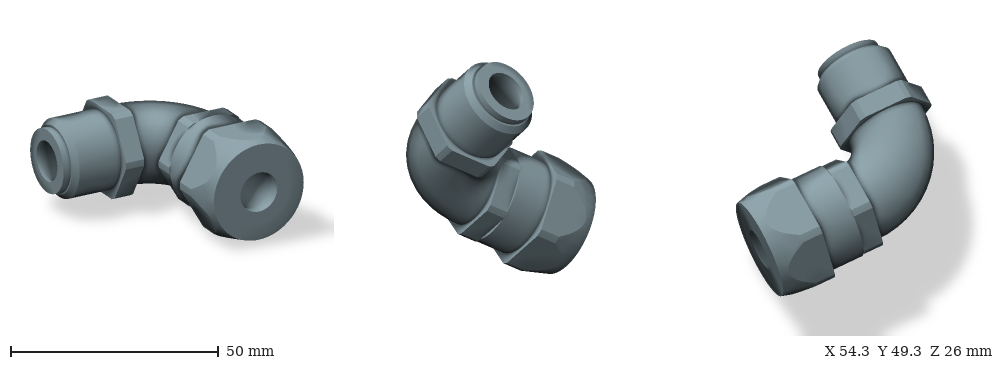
import cadquery as cq

tube_diameter = 20.0
bore_diameter = 10.2
bend_radius = 14.9

flange_flats = 22.15
flange_corners = 24.65
flange_width = 5.05

shank_length = 11.5
shank_chamfer_length = 1.4
shank_end_diameter = 17.3
nose_diameter = 16.3
nose_length = 1.95

collar_diameter = 24.0
collar_length = 9.1
nut_flats = 26.0
nut_corners = 29.0
nut_straight_length = 5.15
nut_taper_length = 7.75
nut_end_diameter = 24.85

CABLE_LEG = cq.Plane(origin=(0, 0, 0), xDir=(0, 1, 0), normal=(1, 0, 0))
THREADED_LEG = cq.Plane(origin=(0, 0, 0), xDir=(1, 0, 0), normal=(0, -1, 0))
HEXAGON_CORNERS_PER_FLATS = 2 / 3 ** 0.5


def cylinder(plane, start, length, diameter):
    return cq.Workplane(plane).workplane(offset=start).circle(diameter / 2).extrude(length)


def cone(plane, start, length, start_diameter, end_diameter):
    """Cone frustum along a leg."""
    return (
        cq.Workplane(plane)
        .workplane(offset=start)
        .circle(start_diameter / 2)
        .workplane(offset=length)
        .circle(end_diameter / 2)
        .loft(ruled=True)
    )


def hexagon(plane, start, length, flats):
    """Sharp hexagonal prism along a leg."""
    return (
        cq.Workplane(plane)
        .workplane(offset=start)
        .polygon(6, flats * HEXAGON_CORNERS_PER_FLATS)
        .extrude(length)
    )


def flange(plane):
    """Hexagon with its corners turned round."""
    turned_blank = cylinder(plane, bend_radius, flange_width, flange_corners)
    return hexagon(plane, bend_radius, flange_width, flange_flats).intersect(turned_blank)


def bend(diameter):
    """Quarter torus joining the two legs."""
    return (
        cq.Workplane("XZ", origin=(0, -bend_radius, 0))
        .circle(diameter / 2)
        .revolve(90, (bend_radius, 0.55, 0), (bend_radius, 0, 0))
    )


def threaded_end():
    shank_start = bend_radius + flange_width
    chamfer_start = shank_start + shank_length
    nose_start = chamfer_start + shank_chamfer_length
    shank = cylinder(THREADED_LEG, shank_start, shank_length, tube_diameter)
    chamfer = cone(THREADED_LEG, chamfer_start, shank_chamfer_length, tube_diameter, shank_end_diameter)
    nose = cylinder(THREADED_LEG, nose_start, nose_length, nose_diameter)
    return shank.union(chamfer).union(nose)


def clamping_nut(start):
    """Hexagon nut with turned corners and a conical outer end."""
    taper_start = start + nut_straight_length
    turned_blank = cylinder(CABLE_LEG, start, nut_straight_length, nut_corners).union(
        cone(CABLE_LEG, taper_start, nut_taper_length, nut_corners, nut_end_diameter)
    )
    prism = hexagon(CABLE_LEG, start, nut_straight_length + nut_taper_length, nut_flats)
    return prism.intersect(turned_blank)


def cable_end():
    collar_start = bend_radius + flange_width
    collar = cylinder(CABLE_LEG, collar_start, collar_length, collar_diameter)
    return collar.union(clamping_nut(collar_start + collar_length))


def bore():
    """Round passage through both legs and the bend."""
    threaded_length = flange_width + shank_length + shank_chamfer_length + nose_length
    cable_length = flange_width + collar_length + nut_straight_length + nut_taper_length
    return (
        bend(bore_diameter)
        .union(cylinder(THREADED_LEG, bend_radius, threaded_length, bore_diameter))
        .union(cylinder(CABLE_LEG, bend_radius, cable_length, bore_diameter))
    )


body = bend(tube_diameter).union(flange(THREADED_LEG)).union(flange(CABLE_LEG))
body = body.union(threaded_end()).union(cable_end())
result = body.cut(bore())